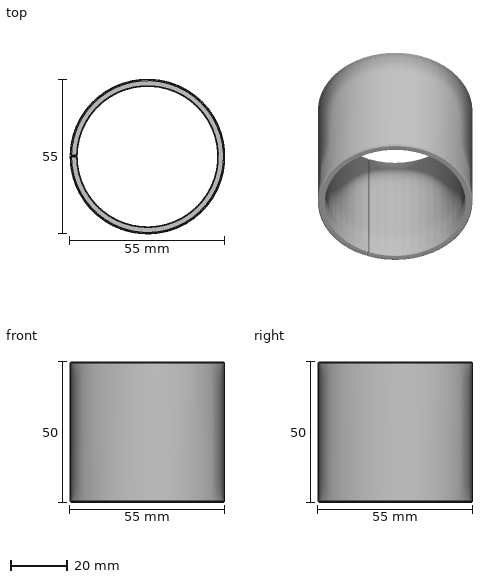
import cadquery as cq

outer_diameter = 55.0
wall_thickness = 2.5
length = 50.0
outer_chamfer = 0.5
inner_chamfer = 0.2
gap_angle = 1.0

outer_radius = outer_diameter / 2
inner_radius = outer_radius - wall_thickness
half_length = length / 2


def make_wall_section():
    """Wall cross-section in the XZ plane on the -X side, with all four rim corners chamfered."""
    return (
        cq.Workplane("XZ")
        .moveTo(-outer_radius, -half_length + outer_chamfer)
        .lineTo(-outer_radius, half_length - outer_chamfer)
        .lineTo(-outer_radius + outer_chamfer, half_length)
        .lineTo(-inner_radius - inner_chamfer, half_length)
        .lineTo(-inner_radius, half_length - inner_chamfer)
        .lineTo(-inner_radius, -half_length + inner_chamfer)
        .lineTo(-inner_radius - inner_chamfer, -half_length)
        .lineTo(-outer_radius + outer_chamfer, -half_length)
        .close()
    )


def make_split_sleeve():
    """Sweep the wall counterclockwise about +Z from the -X axis, stopping short by the gap."""
    return make_wall_section().revolve(360 - gap_angle, (0, 0, 0), (0, 1, 0))


result = make_split_sleeve()